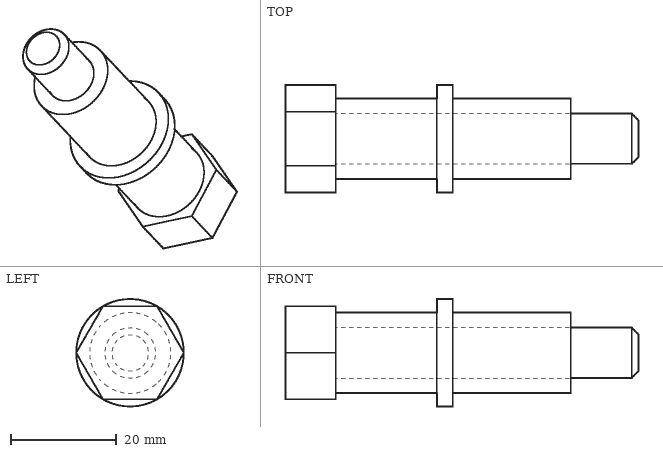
import cadquery as cq
import math

BOLT_LENGTH = 66.7
BOLT_DIAMETER = 9.55
TIP_CHAMFER = 1.35
HEAD_LENGTH = 9.55
HEAD_ACROSS_FLATS = 17.6
SPACER_DIAMETER = 15.3
HEAD_SPACER_LENGTH = 19.1
TIP_SPACER_LENGTH = 22.3
WASHER_DIAMETER = 20.35
WASHER_THICKNESS = 3.0

HEAD_ACROSS_CORNERS = HEAD_ACROSS_FLATS / math.cos(math.radians(30))
WASHER_START = HEAD_LENGTH + HEAD_SPACER_LENGTH
TIP_SPACER_START = WASHER_START + WASHER_THICKNESS


def plane_at(x):
    """Plane facing +X at distance x from the outer head face, with local x along Y."""
    return cq.Workplane("YZ", origin=(x, 0, 0))


def make_bolt():
    """Hex-head bolt with two head corners on the Y axis and a chamfered tip."""
    head = plane_at(0).polygon(6, HEAD_ACROSS_CORNERS).extrude(HEAD_LENGTH)
    shank = (
        plane_at(HEAD_LENGTH)
        .circle(BOLT_DIAMETER / 2)
        .extrude(BOLT_LENGTH - HEAD_LENGTH)
        .faces(">X")
        .chamfer(TIP_CHAMFER)
    )
    return head.union(shank)


def make_ring(start, length, diameter):
    """Plain ring fitted closely around the bolt shank."""
    return plane_at(start).circle(diameter / 2).circle(BOLT_DIAMETER / 2).extrude(length)


def make_spacers():
    """Two tubular spacers, one on each side of the washer."""
    places = [(HEAD_LENGTH, HEAD_SPACER_LENGTH), (TIP_SPACER_START, TIP_SPACER_LENGTH)]
    return [make_ring(start, length, SPACER_DIAMETER).val() for start, length in places]


def make_washer():
    """Washer clamped between the two spacers."""
    return make_ring(WASHER_START, WASHER_THICKNESS, WASHER_DIAMETER)


bolt = make_bolt()
spacers = make_spacers()
washer = make_washer()

result = cq.Compound.makeCompound([bolt.val(), *spacers, washer.val()])